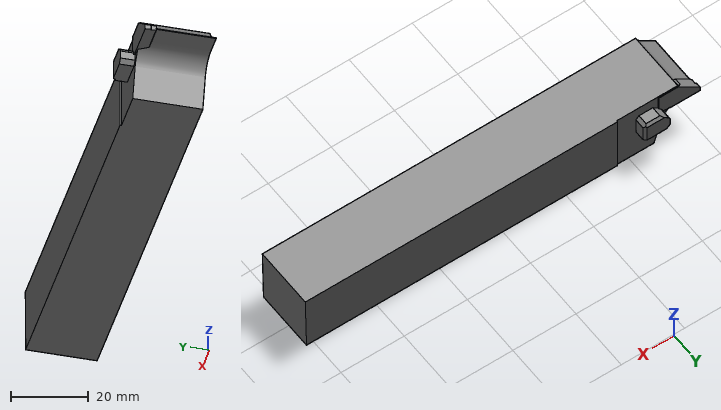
import cadquery as cq
import math

length = 125.0
width = 19.0
height = 19.0
end_lean = 0.4

nose_x = 0.5
nose_bottom = 12.6
nose_top = 12.9
groove_start = (4.9, 16.4)
groove_middle = (6.06, 17.56)
top_start_x = 6.9

throat_foot_x = 14.4
throat_corner_x = 10.6
throat_radius = 5.9

recess_depth = 0.4
recess_length = 26.1

insert_width = 3.1
insert_bottom = 11.9
insert_edge_top = 13.2
insert_heel_x = 9.1
insert_back_x = 13.1
insert_top_x = 6.9
insert_top = 18.9
insert_top_drop = 1.0
insert_bottom_rise = 0.5
insert_edge_width = 1.6

head_start_x = 12.0
head_end_x = 20.1
head_bottom = 9.5
head_top = 15.6
head_reach = 3.5
head_chamfer = 0.8
head_slope_x = 14.8
head_slope_start = (12.5, 13.8)
head_nose_top = 12.9
head_end_bevel = 1.0
head_lower_chamfer = 1.1


def extrude_along_y(outline, start_y, end_y):
    """Extrude a closed XZ outline between two Y positions."""
    return outline.extrude(start_y - end_y).translate((0, start_y, 0))


def make_shank():
    lean_x = throat_foot_x - throat_corner_x
    lean_length = math.hypot(lean_x, nose_bottom)
    turn = math.atan2(nose_bottom, lean_x)
    tangent = throat_radius * math.tan(turn / 2)
    arc_start = (throat_corner_x - tangent, nose_bottom)
    arc_end = (
        throat_corner_x + tangent * lean_x / lean_length,
        nose_bottom - tangent * nose_bottom / lean_length,
    )
    arc_middle = (
        arc_start[0] + throat_radius * math.sin(turn / 2),
        nose_bottom - throat_radius * (1 - math.cos(turn / 2)),
    )
    outline = (
        cq.Workplane("XZ")
        .moveTo(nose_x, nose_bottom)
        .lineTo(*arc_start)
        .threePointArc(arc_middle, arc_end)
        .lineTo(throat_foot_x, 0)
        .lineTo(length - end_lean, 0)
        .lineTo(length, height)
        .lineTo(top_start_x, height)
        .threePointArc(groove_middle, groove_start)
        .lineTo(nose_x, nose_top)
        .close()
    )
    shank = extrude_along_y(outline, 0, width)
    recess = cq.Workplane("XY").box(recess_length, recess_depth, height, centered=False)
    return shank.cut(recess.translate((0, width - recess_depth, 0)))


def make_insert():
    inner_y = width - insert_width
    outline = cq.Workplane("XZ").polyline([
        (0, insert_bottom),
        (insert_heel_x, insert_bottom),
        (insert_back_x, nose_bottom),
        (insert_back_x, insert_top),
        (insert_top_x, insert_top),
        (0, insert_edge_top),
    ]).close()
    insert = extrude_along_y(outline, inner_y, width)
    underside = (
        cq.Workplane("YZ")
        .polyline([
            (inner_y, insert_bottom),
            (width, insert_bottom),
            (inner_y, insert_bottom + insert_bottom_rise),
        ])
        .close()
        .extrude(insert_back_x)
    )
    lower_top = insert_top - insert_top_drop
    top_trim = (
        cq.Workplane("YZ")
        .polyline([
            (inner_y, lower_top),
            (width - insert_top_drop, lower_top),
            (width, insert_top),
            (inner_y, insert_top),
        ])
        .close()
        .extrude(insert_back_x)
    )
    setback = cq.Workplane("XY").box(
        nose_x, insert_width - insert_edge_width, height, centered=False
    ).translate((0, inner_y, 0))
    return insert.cut(underside).cut(top_trim).cut(setback)


def make_clamp_head():
    outline = cq.Workplane("XZ").polyline([
        (head_start_x, head_bottom + head_lower_chamfer),
        (head_start_x + head_lower_chamfer, head_bottom),
        (head_end_x, head_bottom),
        (head_end_x, head_top - head_end_bevel),
        (head_end_x - head_end_bevel, head_top),
        (head_slope_x, head_top),
        head_slope_start,
        (head_start_x, head_nose_top),
    ]).close()
    head = extrude_along_y(outline, width - insert_width, width + head_reach)
    outer_y = width + head_reach
    top_bevel = cq.Workplane("YZ").polyline([
        (outer_y, head_top),
        (outer_y - head_chamfer, head_top),
        (outer_y, head_top - head_chamfer),
    ]).close().extrude(head_end_x)
    end_bevel = cq.Workplane("XY").polyline([
        (head_end_x, outer_y),
        (head_end_x - head_chamfer, outer_y),
        (head_end_x, outer_y - head_chamfer),
    ]).close().extrude(head_top)
    return head.cut(top_bevel).cut(end_bevel)


result = make_shank().union(make_insert()).union(make_clamp_head())